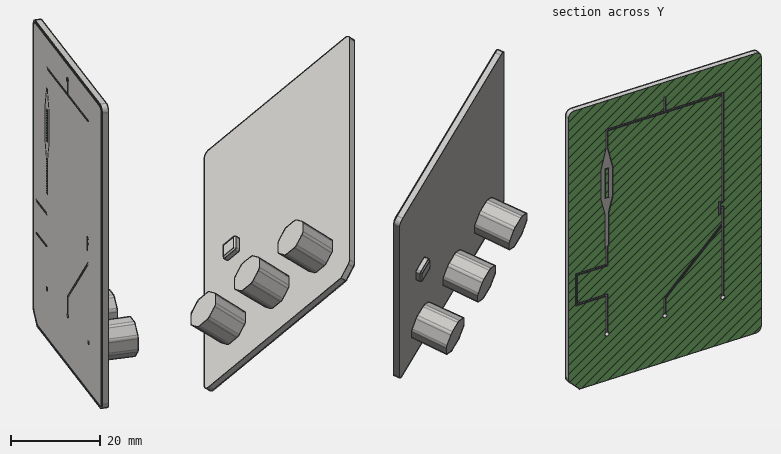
import cadquery as cq
import math

overall_depth = 10.5

plate_width = 50.0
plate_height = 75.0
plate_thickness = 1.5
corner_radius = 1.6
corner_cut = 2.9

film_thickness = 0.16
film_inset = 0.45

channel_width = 0.4
channel_depth = 0.4
port_diameter = 1.0
vent_diameter = 0.9
lane_x = 15.0
header_z = 29.5
vent_z = 33.2
port_z = -25.05
diagonal_top_z = -5.4
diagonal_bottom_z = diagonal_top_z - lane_x

loop_x = -22.95
loop_top_z = -6.6
loop_bottom_z = -14.6

step_x = 14.1
step_top_z = 0.5
step_bottom_z = -0.9
step_end_z = -2.5

chamber_width = 3.0
chamber_inlet_z = 24.6
chamber_top_z = 19.2
chamber_bottom_z = 11.4
neck_width = 1.0
neck_top_z = 7.35
neck_bottom_z = -1.6

knob_sides = 8
knob_width = 8.55
knob_length = overall_depth - plate_thickness - film_thickness
knob_draft_angle = 0.5
knob_corner_radius = 1.1
knob_positions = (-lane_x, 0, lane_x)

pad_width = 4.35
pad_height = 1.4
pad_corner_radius = 0.45
pad_chamfer = 0.4
pad_z = -0.4


def make_blank():
    """Flat card with one cut corner; the other corners are rounded."""
    left, right = -plate_width / 2, plate_width / 2
    bottom, top = -plate_height / 2, plate_height / 2
    outline = [
        (left, top),
        (right, top),
        (right, bottom),
        (left + corner_cut, bottom),
        (left, bottom + corner_cut),
    ]
    blank = cq.Workplane("XZ").polyline(outline).close().extrude(-plate_thickness)
    return blank.edges("|Y").edges("<X or >X or >Z").fillet(corner_radius)


def round_hole(diameter, x, z, depth):
    """Cutter that goes back from the front face of the plate."""
    return cq.Workplane("XZ", origin=(x, 0, z)).circle(diameter / 2).extrude(-depth)


def channel(*points):
    """Groove of constant width along a chain of (x, z) points, with round ends and corners."""
    groove = round_hole(channel_width, *points[0], channel_depth)
    for (x1, z1), (x2, z2) in zip(points, points[1:]):
        angle = math.degrees(math.atan2(z2 - z1, x2 - x1))
        run = (
            cq.Workplane("XZ", origin=((x1 + x2) / 2, 0, (z1 + z2) / 2))
            .slot2D(math.hypot(x2 - x1, z2 - z1) + channel_width, channel_width, angle)
            .extrude(-channel_depth)
        )
        groove = groove.union(run)
    return groove


def make_chamber():
    """Tapered chamber that narrows to a neck below."""
    profile = [
        (channel_width / 2, chamber_inlet_z),
        (chamber_width / 2, chamber_top_z),
        (chamber_width / 2, chamber_bottom_z),
        (neck_width / 2, neck_top_z),
        (neck_width / 2, neck_bottom_z),
    ]
    outline = profile + [(-x, z) for x, z in reversed(profile)]
    chamber = cq.Workplane("XZ", origin=(-lane_x, 0, 0)).polyline(outline).close().extrude(-channel_depth)
    rib_length = chamber_top_z - chamber_bottom_z
    rib_center = (-lane_x, 0, (chamber_top_z + chamber_bottom_z) / 2)
    rib = cq.Workplane("XZ", origin=rib_center).rect(neck_width, rib_length).extrude(-channel_depth)
    return chamber.cut(rib)


def make_plate(blank):
    """Card with the engraved channel network and a port hole at each knob."""
    left_lane, right_lane = -lane_x, lane_x
    grooves = [
        channel((0, vent_z), (0, header_z)),
        channel((left_lane, chamber_inlet_z), (left_lane, header_z), (right_lane, header_z)),
        channel((right_lane, header_z), (right_lane, step_top_z), (step_x, step_top_z), (step_x, step_end_z)),
        channel((step_x, step_bottom_z), (right_lane, step_bottom_z), (right_lane, port_z)),
        channel((right_lane, diagonal_top_z), (0, diagonal_bottom_z), (0, port_z)),
        channel(
            (left_lane, neck_bottom_z),
            (left_lane, loop_top_z),
            (loop_x, loop_top_z),
            (loop_x, loop_bottom_z),
            (left_lane, loop_bottom_z),
            (left_lane, port_z),
        ),
        make_chamber(),
    ]
    ports = [round_hole(port_diameter, x, port_z, plate_thickness) for x in knob_positions]
    plate = blank
    for cutter in grooves + ports:
        plate = plate.cut(cutter)
    return plate


def make_film(blank):
    """Thin cover with the card's outline set inward and a vent hole."""
    film = (
        blank.faces("<Y").wires().toPending().workplane()
        .offset2D(-film_inset)
        .extrude(film_thickness, combine=False)
    )
    vent = cq.Workplane("XZ", origin=(0, 0, vent_z)).circle(vent_diameter / 2).extrude(film_thickness)
    return film.cut(vent)


def make_knob(x):
    """Drafted octagonal prism with rounded corners, standing on the back of the plate."""
    half_step = 180 / knob_sides
    across_corners = knob_width / math.cos(math.radians(half_step))
    knob = (
        cq.Workplane("XZ", origin=(x, plate_thickness + knob_length, port_z))
        .transformed(rotate=(0, 0, half_step))
        .polygon(knob_sides, across_corners)
        .extrude(knob_length, taper=knob_draft_angle)
    )
    return knob.edges("not(#Y)").fillet(knob_corner_radius)


def make_pad():
    """Square block with rounded corners and a chamfered rear rim."""
    pad = (
        cq.Workplane("XZ", origin=(lane_x, plate_thickness, pad_z))
        .rect(pad_width, pad_width)
        .extrude(-pad_height)
    )
    return pad.edges("|Y").fillet(pad_corner_radius).faces(">Y").chamfer(pad_chamfer)


blank = make_blank()
plate = make_plate(blank)
film = make_film(blank)
knobs = [make_knob(x) for x in knob_positions]
pad = make_pad()

result = cq.Compound.makeCompound([plate.val(), film.val(), *[knob.val() for knob in knobs], pad.val()])